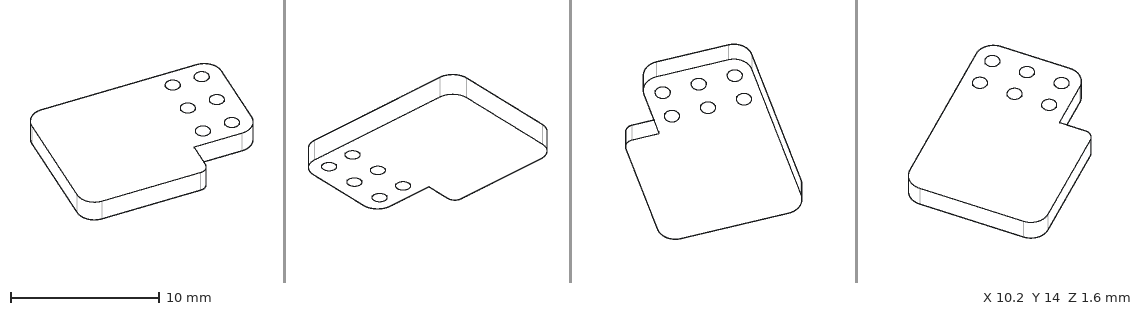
import cadquery as cq

width = 10.15
length = 13.97
thickness = 1.6
corner_radius = 1.27

tab_width = 7.61
step_depth = 4.79
shoulder_radius = 0.63

hole_diameter = 1.02
hole_columns = 3
hole_rows = 2
column_pitch = 2.54
row_pitch = 2.14
first_row_from_end = 1.45

left = -width / 2
right = width / 2
bottom = -length / 2
top = length / 2
tab_right = left + tab_width
shoulder = top - step_depth


def make_plate():
    """Stepped plate with rounded outer corners and a sharp inner corner."""
    plate = (
        cq.Workplane("XY")
        .moveTo(left, bottom)
        .lineTo(right, bottom)
        .lineTo(right, shoulder)
        .lineTo(tab_right, shoulder)
        .lineTo(tab_right, top)
        .lineTo(left, top)
        .close()
        .extrude(thickness)
    )
    rounded_corners = [
        (left, bottom, corner_radius),
        (right, bottom, corner_radius),
        (left, top, corner_radius),
        (tab_right, top, corner_radius),
        (right, shoulder, shoulder_radius),
    ]
    for x, y, radius in rounded_corners:
        corner_edge = cq.selectors.NearestToPointSelector((x, y, thickness / 2))
        plate = plate.edges("|Z").edges(corner_edge).fillet(radius)
    return plate


def make_holes():
    """Through-hole cylinders, centred across the tab width."""
    grid_x = left + tab_width / 2
    grid_y = top - first_row_from_end - row_pitch * (hole_rows - 1) / 2
    return (
        cq.Workplane("XY")
        .center(grid_x, grid_y)
        .rarray(column_pitch, row_pitch, hole_columns, hole_rows)
        .circle(hole_diameter / 2)
        .extrude(thickness)
    )


result = make_plate().cut(make_holes())